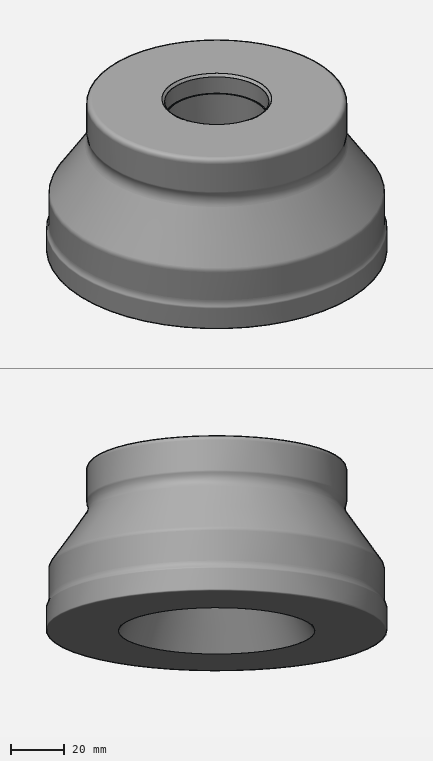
import cadquery as cq
import math

QUARTER_TURN = math.pi / 2

height = 63.5
base_radius = 63.5
shoulder_radius = 62.6
head_radius = 48.5

bottom_edge_fillet = 0.5
base_band_top = 8.6
step_lip_radius = 1.1
step_cove_radius = 4.3

cone_angle = math.radians(35.0)
shoulder_top = 23.4
shoulder_fillet = 2.7

head_bottom = 49.8
head_edge_fillet = 2.0
groove_lip_radius = 2.0
groove_radius = 5.6

entry_radius = 19.4
entry_chamfer = 1.0
bush_bore_radius = 18.9
bush_outer_radius = 24.1
bush_top = 55.6
bush_bottom = 37.8
flare_angle = math.radians(25.0)
flare_bottom_radius = bush_bore_radius + bush_bottom * math.tan(flare_angle)


def arc_point(center, radius, angle):
    """Point of a circle in the (radius, height) plane; angle 0 points outward, a quarter turn up."""
    return (center[0] + radius * math.cos(angle), center[1] + radius * math.sin(angle))


def add_arc(profile, center, radius, start_angle, end_angle):
    """Continue the profile along an arc that begins where the profile ends."""
    middle = arc_point(center, radius, (start_angle + end_angle) / 2)
    end = arc_point(center, radius, end_angle)
    return profile.threePointArc(middle, end)


def add_line_and_arc(profile, center, radius, start_angle, end_angle):
    """Draw a line to the start of an arc, then the arc itself."""
    profile = profile.lineTo(*arc_point(center, radius, start_angle))
    return add_arc(profile, center, radius, start_angle, end_angle)


def add_base(profile):
    """Rounded bottom edge and the upright wall of the base band."""
    edge_center = (base_radius - bottom_edge_fillet, bottom_edge_fillet)
    return add_line_and_arc(profile, edge_center, bottom_edge_fillet, -QUARTER_TURN, 0)


def add_step(profile):
    """Convex lip running tangentially into a concave cove, from the base band in to the shoulder."""
    centers_apart = step_lip_radius + step_cove_radius
    turn = math.acos(1 - (base_radius - shoulder_radius) / centers_apart)
    lip_center = (base_radius - step_lip_radius, base_band_top)
    cove_center = arc_point(lip_center, centers_apart, turn)
    profile = add_line_and_arc(profile, lip_center, step_lip_radius, 0, turn)
    return add_arc(profile, cove_center, step_cove_radius, math.pi + turn, math.pi)


def add_shoulder_and_groove(profile):
    """Rounded shoulder, cone, and the groove tangent to both the cone and the lip under the head."""
    shoulder_center = (shoulder_radius - shoulder_fillet, shoulder_top)
    cone_start = arc_point(shoulder_center, shoulder_fillet, cone_angle)
    lip_center = (head_radius - groove_lip_radius, head_bottom)

    centers_apart = groove_lip_radius + groove_radius
    radial_part = (lip_center[0] - cone_start[0]) * math.cos(cone_angle)
    upward_part = (lip_center[1] - cone_start[1]) * math.sin(cone_angle)
    lip_outside_cone = radial_part + upward_part
    turn = math.acos((groove_radius - lip_outside_cone) / centers_apart) - cone_angle
    groove_center = arc_point(lip_center, centers_apart, -turn)

    profile = add_line_and_arc(profile, shoulder_center, shoulder_fillet, 0, cone_angle)
    profile = add_line_and_arc(
        profile, groove_center, groove_radius, math.pi + cone_angle, math.pi - turn
    )
    return add_arc(profile, lip_center, groove_lip_radius, -turn, 0)


def add_head(profile):
    """Upright wall of the head and its rounded top edge."""
    edge_center = (head_radius - head_edge_fillet, height - head_edge_fillet)
    return add_line_and_arc(profile, edge_center, head_edge_fillet, 0, QUARTER_TURN)


def add_bore(profile):
    """Chamfered entry, the recess that holds the bush, and the top of the flare."""
    return (
        profile.lineTo(entry_radius + entry_chamfer, height)
        .lineTo(entry_radius, height - entry_chamfer)
        .lineTo(entry_radius, bush_top)
        .lineTo(bush_outer_radius, bush_top)
        .lineTo(bush_outer_radius, bush_bottom)
        .lineTo(bush_bore_radius, bush_bottom)
    )


def make_housing():
    """Bell-shaped housing, revolved about Z; closing the profile draws the flare."""
    profile = cq.Workplane("XZ").moveTo(flare_bottom_radius, 0)
    profile = add_base(profile)
    profile = add_step(profile)
    profile = add_shoulder_and_groove(profile)
    profile = add_head(profile)
    profile = add_bore(profile)
    return profile.close().revolve(360, (0, 0, 0), (0, 1, 0))


def make_bush():
    """Plain ring that fills the recess in the housing and stands slightly into the bore."""
    return (
        cq.Workplane("XY")
        .workplane(offset=bush_bottom)
        .circle(bush_outer_radius)
        .circle(bush_bore_radius)
        .extrude(bush_top - bush_bottom)
    )


housing = make_housing()
bush = make_bush()
result = cq.Compound.makeCompound([housing.val(), bush.val()])